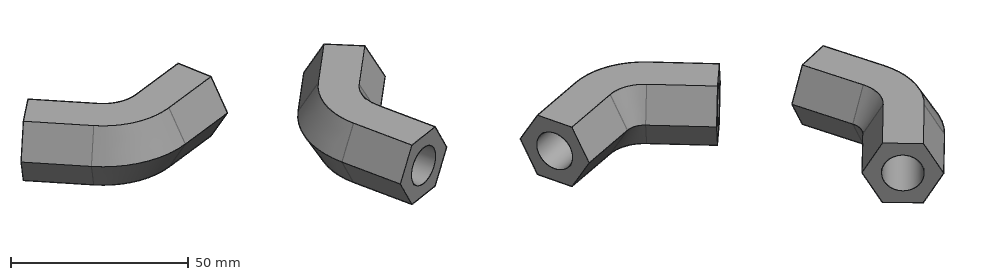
import cadquery as cq
import math

across_flats = 20.0
bore_diameter = 12.0
leg_length = 20.0
bend_angle = 60.0
bend_tangent_length = 10.0

hexagon_sides = 6
across_corners = across_flats / math.cos(math.pi / hexagon_sides)

bend_radius = bend_tangent_length / math.tan(math.radians(bend_angle / 2))


def point_on_bend(angle_degrees):
    """Centreline point after turning by the given angle from the Y direction."""
    angle = math.radians(angle_degrees)
    x = -bend_radius * (1 - math.cos(angle))
    y = -leg_length - bend_radius * math.sin(angle)
    return x, y


def make_centreline():
    """Straight leg along -Y, a bend towards -X, then a second straight leg."""
    bend_start = point_on_bend(0)
    bend_middle = point_on_bend(bend_angle / 2)
    bend_end = point_on_bend(bend_angle)
    turn = math.radians(bend_angle)
    far_end = (
        bend_end[0] - leg_length * math.sin(turn),
        bend_end[1] - leg_length * math.cos(turn),
    )
    return (
        cq.Workplane("XY")
        .lineTo(*bend_start)
        .threePointArc(bend_middle, bend_end)
        .lineTo(*far_end)
    )


def make_hex_bar():
    """Solid hexagonal bar following the centreline."""
    return cq.Workplane("XZ").polygon(hexagon_sides, across_corners).sweep(make_centreline())


def make_bore():
    """Round core following the centreline from end to end."""
    return cq.Workplane("XZ").circle(bore_diameter / 2).sweep(make_centreline())


result = make_hex_bar().cut(make_bore())